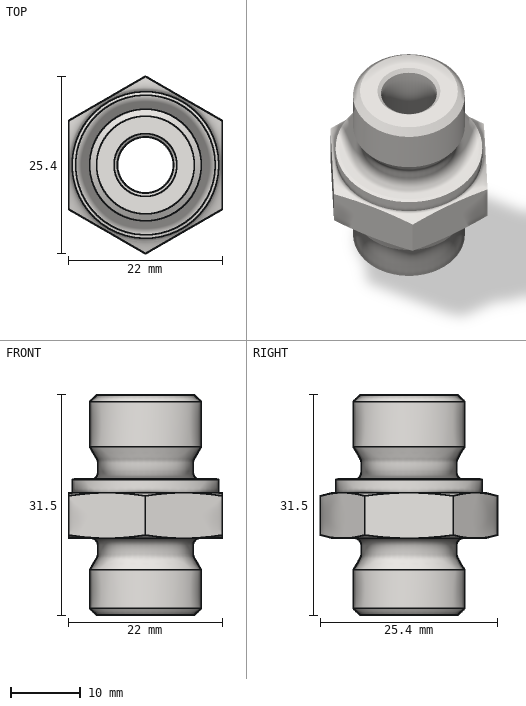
import cadquery as cq
import math

TOTAL_LENGTH = 31.5
HEX_BOTTOM = 11.0
HEX_TOP = 17.5
COLLAR_TOP = 19.5

HEX_FLATS = 22.0
HEX_CORNER_RADIUS = HEX_FLATS / math.sqrt(3)
HEX_CHAMFER_ANGLE = math.radians(15)

THREAD_RADIUS = 16.0 / 2
END_CHAMFER = 1.0
END_CHAMFER_HEIGHT = 0.95
LOWER_THREAD_END = 6.45
UPPER_THREAD_START = 24.1

NECK_RADIUS = 13.7 / 2
RUNOUT_ANGLE = math.radians(30)
RUNOUT_FILLET = 1.0
LOWER_ROOT_FILLET = 1.0

COLLAR_RADIUS = 21.0 / 2
COLLAR_CHAMFER = 0.5
COLLAR_CHAMFER_HEIGHT = 0.1
DISH_INNER_RADIUS = 8.2
DISH_ANGLE = math.radians(7)
UPPER_ROOT_FILLET = (DISH_INNER_RADIUS - NECK_RADIUS) / (1 + math.sin(DISH_ANGLE))

BORE_RADIUS = 8.0 / 2
BORE_CHAMFER = 0.5

FULL_TURN = 360
HEX_SIDES = 6


def runout_points(thread_end, direction):
    """Thread edge, then the cone end, arc middle and neck end of the runout.

    direction is +1 when the neck lies above the thread, -1 when below.
    """
    sharp_length = (THREAD_RADIUS - NECK_RADIUS) / math.tan(RUNOUT_ANGLE)
    tangent = RUNOUT_FILLET * math.tan(RUNOUT_ANGLE / 2)
    neck_end = sharp_length + tangent

    def on_arc(angle):
        radius = NECK_RADIUS + RUNOUT_FILLET * (1 - math.cos(angle))
        height = neck_end - RUNOUT_FILLET * math.sin(angle)
        return (radius, thread_end + direction * height)

    thread_edge = (THREAD_RADIUS, thread_end)
    return thread_edge, on_arc(RUNOUT_ANGLE), on_arc(RUNOUT_ANGLE / 2), on_arc(0)


def root_point(fillet, bottom, direction, angle):
    """Point on a root fillet, at an angle swept from the neck wall."""
    radius = NECK_RADIUS + fillet * (1 - math.cos(angle))
    height = fillet * (1 - math.sin(angle))
    return (radius, bottom + direction * height)


def make_turned_body():
    """Body of revolution: both threaded ends, the necks and the collar."""
    lower_edge, lower_cone, lower_mid, lower_neck = runout_points(LOWER_THREAD_END, 1)
    upper_edge, upper_cone, upper_mid, upper_neck = runout_points(UPPER_THREAD_START, -1)

    quarter = math.pi / 2
    upper_sweep = quarter + DISH_ANGLE
    dish_outer_radius = COLLAR_RADIUS - COLLAR_CHAMFER
    dish_rise = (dish_outer_radius - DISH_INNER_RADIUS) * math.tan(DISH_ANGLE)
    fillet_rise = UPPER_ROOT_FILLET * (1 - math.cos(DISH_ANGLE))
    upper_root = COLLAR_TOP - dish_rise - fillet_rise

    profile = (
        cq.Workplane("XZ")
        .moveTo(0, 0)
        .lineTo(THREAD_RADIUS - END_CHAMFER, 0)
        .lineTo(THREAD_RADIUS, END_CHAMFER_HEIGHT)
        .lineTo(*lower_edge)
        .lineTo(*lower_cone)
        .threePointArc(lower_mid, lower_neck)
        .lineTo(*root_point(LOWER_ROOT_FILLET, HEX_BOTTOM, -1, 0))
        .threePointArc(
            root_point(LOWER_ROOT_FILLET, HEX_BOTTOM, -1, quarter / 2),
            root_point(LOWER_ROOT_FILLET, HEX_BOTTOM, -1, quarter),
        )
        .lineTo(COLLAR_RADIUS, HEX_BOTTOM)
        .lineTo(COLLAR_RADIUS, COLLAR_TOP - COLLAR_CHAMFER_HEIGHT)
        .lineTo(dish_outer_radius, COLLAR_TOP)
        .lineTo(*root_point(UPPER_ROOT_FILLET, upper_root, 1, upper_sweep))
        .threePointArc(
            root_point(UPPER_ROOT_FILLET, upper_root, 1, upper_sweep / 2),
            root_point(UPPER_ROOT_FILLET, upper_root, 1, 0),
        )
        .lineTo(*upper_neck)
        .threePointArc(upper_mid, upper_cone)
        .lineTo(*upper_edge)
        .lineTo(THREAD_RADIUS, TOTAL_LENGTH - END_CHAMFER_HEIGHT)
        .lineTo(THREAD_RADIUS - END_CHAMFER, TOTAL_LENGTH)
        .lineTo(0, TOTAL_LENGTH)
        .close()
    )
    return profile.revolve(FULL_TURN, (0, 0, 0), (0, 1, 0))


def make_hexagon():
    """Hexagon whose corners are turned down by a cone at both faces."""
    prism = (
        cq.Workplane("XY", origin=(0, 0, HEX_BOTTOM))
        .polygon(HEX_SIDES, 2 * HEX_CORNER_RADIUS)
        .extrude(HEX_TOP - HEX_BOTTOM)
        .rotate((0, 0, 0), (0, 0, 1), FULL_TURN / HEX_SIDES / 2)
    )
    face_radius = HEX_FLATS / 2
    corner_drop = (HEX_CORNER_RADIUS - face_radius) * math.tan(HEX_CHAMFER_ANGLE)
    envelope = (
        cq.Workplane("XZ")
        .moveTo(0, HEX_BOTTOM)
        .lineTo(face_radius, HEX_BOTTOM)
        .lineTo(HEX_CORNER_RADIUS, HEX_BOTTOM + corner_drop)
        .lineTo(HEX_CORNER_RADIUS, HEX_TOP - corner_drop)
        .lineTo(face_radius, HEX_TOP)
        .lineTo(0, HEX_TOP)
        .close()
        .revolve(FULL_TURN, (0, 0, 0), (0, 1, 0))
    )
    return prism.intersect(envelope)


def make_bore():
    """Through bore with a 45 degree chamfer at both ends."""
    mouth_radius = BORE_RADIUS + BORE_CHAMFER
    return (
        cq.Workplane("XZ")
        .moveTo(0, 0)
        .lineTo(mouth_radius, 0)
        .lineTo(BORE_RADIUS, BORE_CHAMFER)
        .lineTo(BORE_RADIUS, TOTAL_LENGTH - BORE_CHAMFER)
        .lineTo(mouth_radius, TOTAL_LENGTH)
        .lineTo(0, TOTAL_LENGTH)
        .close()
        .revolve(FULL_TURN, (0, 0, 0), (0, 1, 0))
    )


result = make_turned_body().union(make_hexagon()).cut(make_bore())